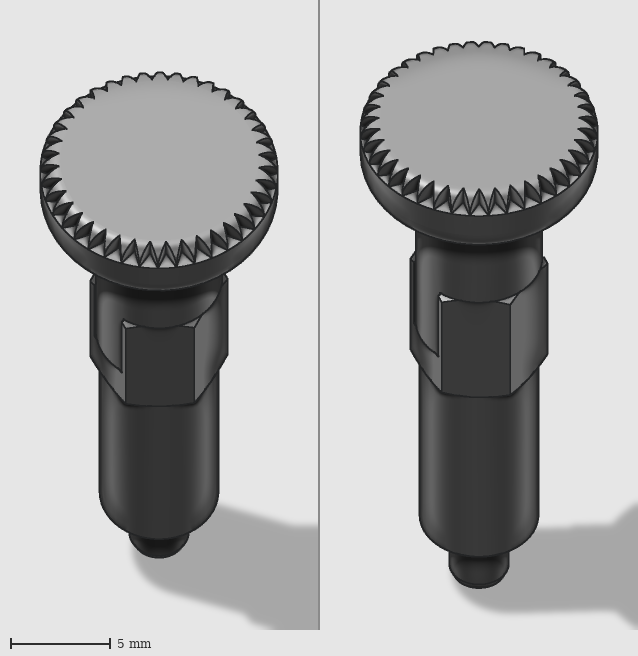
import cadquery as cq
import math

total_length = 32.48
pin_reach = 3.5
barrel_length = 12.0
hex_height = 6.98

barrel_bottom = pin_reach
hex_bottom = barrel_bottom + barrel_length
hex_top = hex_bottom + hex_height

head_diameter = 12.0
head_height = 4.0
crown_height = 1.0
under_round = 1.6
neck_fillet = 0.85

head_radius = head_diameter / 2
head_bottom = total_length - head_height
crown_bottom = total_length - crown_height
flat_top_radius = head_radius - crown_height

tooth_count = 40
groove_root_radius = 5.07

sleeve_diameter = 6.4
bar_width = 2.65
bar_depth = 4.5

sleeve_radius = sleeve_diameter / 2
bar_bottom = hex_top - bar_depth

pin_diameter = 3.02
tip_length = 0.62
tip_inset = 0.2
tip_dome = 0.15

pin_radius = pin_diameter / 2
tip_radius = pin_radius - tip_inset

barrel_diameter = 6.0
barrel_chamfer = 0.6
hex_across_flats = barrel_diameter
hex_chamfer_angle = 30

barrel_radius = barrel_diameter / 2
hex_corner_radius = hex_across_flats / math.sqrt(3)
hex_chamfer = (hex_corner_radius - barrel_radius) * math.tan(math.radians(hex_chamfer_angle))


def cylinder(radius, bottom, top):
    return cq.Workplane("XY").workplane(offset=bottom).circle(radius).extrude(top - bottom)


def spin(profile):
    """Revolve a closed outline, drawn as radius and Z, around the Z axis."""
    return profile.close().revolve(360, (0, 0, 0), (0, 1, 0))


def round_offset(radius):
    """Distance along each axis from a quarter-round's centre to its midpoint."""
    return radius * math.sqrt(0.5)


def make_head():
    """Knob disc with a rounded lower edge, flowing into the solid sleeve under it."""
    round_centre_r = head_radius - under_round
    round_top = head_bottom + under_round
    fillet_centre_r = sleeve_radius + neck_fillet
    fillet_bottom = head_bottom - neck_fillet
    profile = (
        cq.Workplane("XZ")
        .moveTo(0, hex_top)
        .lineTo(sleeve_radius, hex_top)
        .lineTo(sleeve_radius, fillet_bottom)
        .threePointArc(
            (fillet_centre_r - round_offset(neck_fillet), fillet_bottom + round_offset(neck_fillet)),
            (fillet_centre_r, head_bottom),
        )
        .lineTo(round_centre_r, head_bottom)
        .threePointArc(
            (round_centre_r + round_offset(under_round), round_top - round_offset(under_round)),
            (head_radius, round_top),
        )
        .lineTo(head_radius, crown_bottom)
        .lineTo(0, crown_bottom)
    )
    return spin(profile)


def make_crown():
    """Round-edged top of the knob, cut to a star so upright pointed teeth run around it."""
    profile = (
        cq.Workplane("XZ")
        .moveTo(0, crown_bottom)
        .lineTo(head_radius, crown_bottom)
        .threePointArc(
            (flat_top_radius + round_offset(crown_height), crown_bottom + round_offset(crown_height)),
            (flat_top_radius, total_length),
        )
        .lineTo(0, total_length)
    )
    star_points = []
    for step in range(2 * tooth_count):
        angle = math.pi * step / tooth_count
        radius = groove_root_radius if step % 2 == 0 else head_radius
        star_points.append((radius * math.cos(angle), radius * math.sin(angle)))
    star = cq.Workplane("XY").workplane(offset=crown_bottom).polyline(star_points).close()
    return spin(profile).intersect(star.extrude(crown_height))


def make_bar_space():
    """Straight block across the housing that the cross bar fills."""
    return (
        cq.Workplane("XY")
        .workplane(offset=bar_bottom)
        .rect(bar_width, 2 * hex_corner_radius)
        .extrude(bar_depth)
    )


def make_pin():
    """Straight pin up to the cross bar, with a tapered and slightly domed tip."""
    dome_midpoint = (tip_radius / 2, tip_dome / 4)
    profile = (
        cq.Workplane("XZ")
        .moveTo(0, 0)
        .threePointArc(dome_midpoint, (tip_radius, tip_dome))
        .lineTo(pin_radius, tip_length)
        .lineTo(pin_radius, hex_top)
        .lineTo(0, hex_top)
    )
    return spin(profile)


def make_plunger():
    """Knob, sleeve, cross bar and pin, which move together as one body."""
    cross_bar = make_bar_space().intersect(cylinder(sleeve_radius, bar_bottom, hex_top))
    return make_head().union(make_crown()).union(cross_bar).union(make_pin())


def make_hexagon():
    """Hexagon with corners on the X axis and both ends turned to a cone."""
    prism = (
        cq.Workplane("XY")
        .workplane(offset=hex_bottom)
        .polygon(6, 2 * hex_corner_radius)
        .extrude(hex_height)
    )
    profile = (
        cq.Workplane("XZ")
        .moveTo(0, hex_bottom)
        .lineTo(barrel_radius, hex_bottom)
        .lineTo(hex_corner_radius, hex_bottom + hex_chamfer)
        .lineTo(hex_corner_radius, hex_top - hex_chamfer)
        .lineTo(barrel_radius, hex_top)
        .lineTo(0, hex_top)
    )
    return prism.intersect(spin(profile))


def make_housing():
    """Hexagon and barrel, bored for the pin and slotted across for the bar."""
    barrel = cylinder(barrel_radius, barrel_bottom, hex_bottom).faces("<Z").chamfer(barrel_chamfer)
    pin_bore = cylinder(pin_radius, barrel_bottom, hex_top)
    return make_hexagon().union(barrel).cut(pin_bore).cut(make_bar_space())


plunger = make_plunger()
housing = make_housing()

result = cq.Compound.makeCompound([plunger.solids().val(), housing.solids().val()])